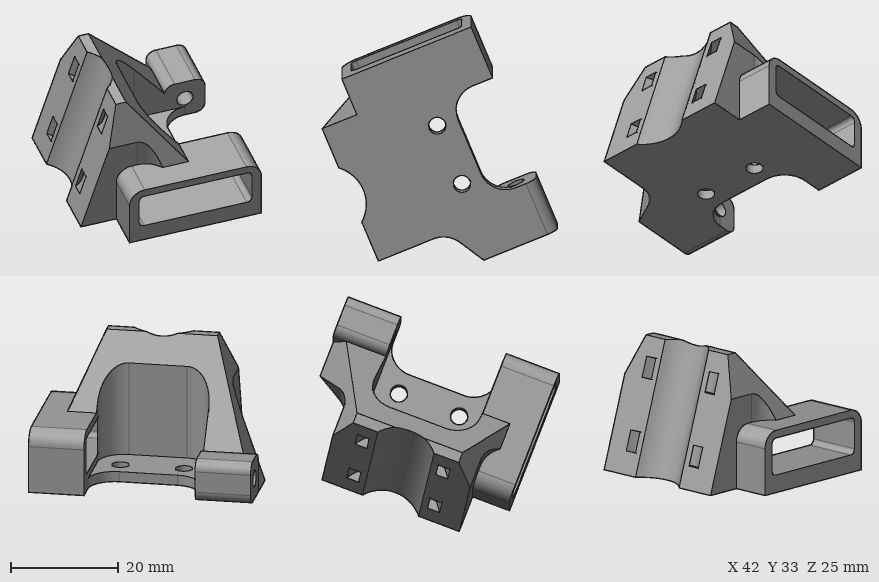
import cadquery as cq
import math

WIDTH = 42.0
DEPTH = 33.0
HEIGHT = 25.0
HALF_WIDTH = WIDTH / 2
INNER_HALF_WIDTH = WIDTH / 4

RIDGE_FRONT_Y = 8.0
RIDGE_REAR_Y = 10.0
WEDGE_REAR_Y = 30.0
FRONT_HALF_WIDTH = 13.67
WAIST_CORNER_Y = 13.95
WAIST_FLARE_ANGLE = 30.0
WAIST_RADIUS = 5.0

LEAN_ANGLE = math.degrees(math.atan2(RIDGE_FRONT_Y, HEIGHT))
FACE_LENGTH = math.hypot(RIDGE_FRONT_Y, HEIGHT)
BEARING_RADIUS = 7.5
BEARING_AXIS_OFFSET = 5.0
SLOT_INNER_RADIUS = 8.5
SLOT_OUTER_RADIUS = 10.5
SLOT_HEIGHT = 4.0
SLOT_STARTS = (4.4, 18.4)

ARM_SIZE = 8.0
ARM_RADIUS = 2.0
HOLE_DIAMETER = 3.2

BLOCK_FRONT_Y = 7.0
BLOCK_HEIGHT = 12.0
BLOCK_RADIUS = 3.0
WINDOW_END_WALL = 1.9
WINDOW_TOP_WALL = 1.5
WINDOW_FLOOR_Z = 3.4
WINDOW_RADIUS = 1.0

PLATE_THICKNESS = 2.0
PLATE_FRONT_Y = 14.0
PLATE_REAR_Y = 24.0
PLATE_CORNER_RADIUS = 5.0
SCREW_SPACING = 12.0
SCREW_Y = 20.0


def box(x_min, x_max, y_min, y_max, z_min, z_max):
    """Box given by its limits along each axis."""
    size = (x_max - x_min, y_max - y_min, z_max - z_min)
    return cq.Workplane("XY").box(*size, centered=False).translate((x_min, y_min, z_min))


def make_wedge():
    """Body shared by a side profile, a tapered front profile and a waisted plan."""
    side = (
        cq.Workplane("YZ")
        .polyline([(0, 0), (RIDGE_FRONT_Y, HEIGHT), (RIDGE_REAR_Y, HEIGHT), (WEDGE_REAR_Y, 0)])
        .close()
        .extrude(HALF_WIDTH, both=True)
    )
    taper = (
        cq.Workplane("XZ")
        .polyline([
            (-HALF_WIDTH, 0),
            (-INNER_HALF_WIDTH, HEIGHT),
            (INNER_HALF_WIDTH, HEIGHT),
            (HALF_WIDTH, 0),
        ])
        .close()
        .extrude(-DEPTH)
    )
    flare_rise = (HALF_WIDTH - FRONT_HALF_WIDTH) * math.tan(math.radians(WAIST_FLARE_ANGLE))
    flare_end_y = WAIST_CORNER_Y + flare_rise
    plan = (
        cq.Workplane("XY")
        .polyline([
            (-FRONT_HALF_WIDTH, 0),
            (FRONT_HALF_WIDTH, 0),
            (FRONT_HALF_WIDTH, WAIST_CORNER_Y),
            (HALF_WIDTH, flare_end_y),
            (HALF_WIDTH, DEPTH),
            (-HALF_WIDTH, DEPTH),
            (-HALF_WIDTH, flare_end_y),
            (-FRONT_HALF_WIDTH, WAIST_CORNER_Y),
        ])
        .close()
        .extrude(HEIGHT)
    )
    margin = 1.0
    waist_corners = cq.selectors.BoxSelector(
        (-FRONT_HALF_WIDTH - margin, WAIST_CORNER_Y - margin, 0),
        (FRONT_HALF_WIDTH + margin, WAIST_CORNER_Y + margin, HEIGHT),
    )
    plan = plan.edges("|Z").edges(waist_corners).fillet(WAIST_RADIUS)
    return side.intersect(taper).intersect(plan)


def make_arm():
    """Square arm at the rear left, rounded on all long edges but the front bottom one."""
    arm = box(-HALF_WIDTH, -INNER_HALF_WIDTH, DEPTH - ARM_SIZE, DEPTH, 0, ARM_SIZE)
    return arm.edges("|X").edges(">Y or >Z").fillet(ARM_RADIUS)


def make_block():
    """Long block on the right with its two upper long edges rounded."""
    block = box(INNER_HALF_WIDTH, HALF_WIDTH, BLOCK_FRONT_Y, DEPTH, 0, BLOCK_HEIGHT)
    return block.edges("|X and >Z").fillet(BLOCK_RADIUS)


def make_window():
    """Window running through the right block along X, rounded at its four corners."""
    window = box(
        INNER_HALF_WIDTH,
        HALF_WIDTH,
        BLOCK_FRONT_Y + WINDOW_END_WALL,
        DEPTH - WINDOW_END_WALL,
        WINDOW_FLOOR_Z,
        BLOCK_HEIGHT - WINDOW_TOP_WALL,
    )
    return window.edges("|X").fillet(WINDOW_RADIUS)


def make_recess():
    """Space above the mounting plate, round at its two front corners."""
    recess = box(
        -INNER_HALF_WIDTH, INNER_HALF_WIDTH, PLATE_FRONT_Y, DEPTH, PLATE_THICKNESS, HEIGHT
    )
    return recess.edges("|Z and <Y").fillet(PLATE_CORNER_RADIUS)


def make_plate():
    """Mounting plate whose rear edge sweeps back along the arm and the block."""
    plate = box(
        -INNER_HALF_WIDTH, INNER_HALF_WIDTH, PLATE_FRONT_Y, DEPTH, 0, PLATE_THICKNESS
    )
    return plate.cut(make_rear_notch())


def make_rear_notch():
    """Opening behind the mounting plate, round at its two front corners."""
    notch = box(-INNER_HALF_WIDTH, INNER_HALF_WIDTH, PLATE_REAR_Y, DEPTH, 0, HEIGHT)
    return notch.edges("|Z and <Y").fillet(PLATE_CORNER_RADIUS)


def along_bearing_axis(shape):
    """Move a shape built about Z onto the leaning bearing axis."""
    return shape.translate((0, -BEARING_AXIS_OFFSET, 0)).rotate((0, 0, 0), (1, 0, 0), -LEAN_ANGLE)


def make_groove():
    """Cylinder that cuts the bearing seat, longer than the face at both ends."""
    groove = cq.Workplane("XY").circle(BEARING_RADIUS).extrude(FACE_LENGTH, both=True)
    return along_bearing_axis(groove.translate((0, 0, FACE_LENGTH / 2)))


def make_tie_slot(start):
    """Curved cable tie passage around the bearing seat."""
    ring = (
        cq.Workplane("XY", origin=(0, 0, start))
        .circle(SLOT_OUTER_RADIUS)
        .circle(SLOT_INNER_RADIUS)
        .extrude(SLOT_HEIGHT)
    )
    return along_bearing_axis(ring)


def make_arm_hole():
    """Hole through the arm along X."""
    return (
        cq.Workplane("YZ", origin=(-HALF_WIDTH, DEPTH - ARM_SIZE / 2, ARM_SIZE / 2))
        .circle(HOLE_DIAMETER / 2)
        .extrude(HALF_WIDTH - INNER_HALF_WIDTH)
    )


def make_screw_holes():
    """Pair of vertical holes through the mounting plate."""
    return (
        cq.Workplane("XY")
        .pushPoints([(-SCREW_SPACING / 2, SCREW_Y), (SCREW_SPACING / 2, SCREW_Y)])
        .circle(HOLE_DIAMETER / 2)
        .extrude(PLATE_THICKNESS)
    )


body = make_wedge().cut(make_recess()).cut(make_rear_notch())
body = body.union(make_plate()).union(make_arm()).union(make_block())
body = body.cut(make_window()).cut(make_groove())
for slot_start in SLOT_STARTS:
    body = body.cut(make_tie_slot(slot_start))
result = body.cut(make_arm_hole()).cut(make_screw_holes())